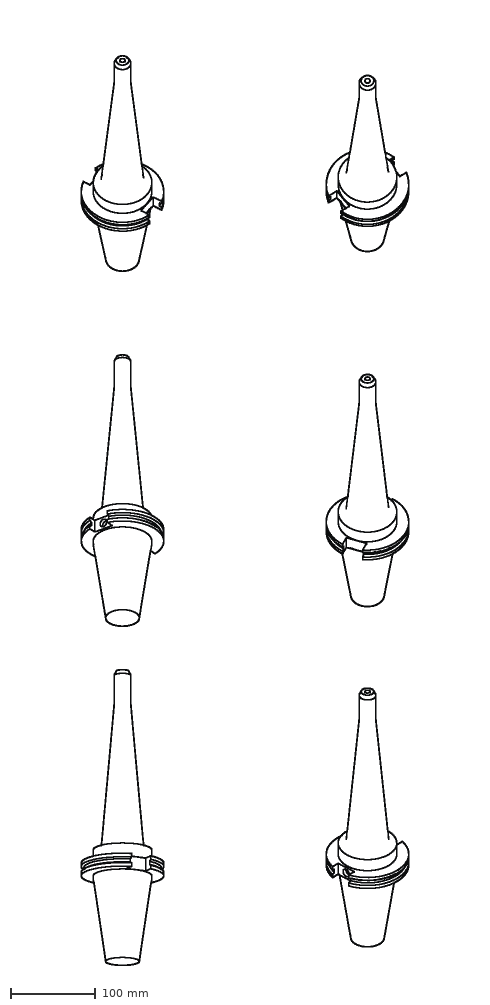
import cadquery as cq
import math

gauge_diameter = 69.85
taper_length = 101.6
taper_ratio = 7 / 24
nose_z = 254.0

flange_diameter = 98.425
flange_bottom_z = 3.175
flange_top_z = 19.05
groove_center_z = 11.1
groove_floor_width = 3.7
groove_depth = 3.0
groove_flank_angle = 30.0
slot_width = 25.9
deep_slot_floor_x = 35.3
shallow_slot_floor_x = 38.0
dimple_diameter = 9.8
dimple_depth = 5.0

boss_top_z = 35.0
cone_base_radius = 25.4
cone_base_z = 39.5
root_fillet_radius = 5.0
nose_diameter = 20.0
cone_top_z = 214.0
nose_chamfer_height = 5.2
nose_face_diameter = 15.0
bore_diameter = 6.0
bore_depth = 10.0

gauge_radius = gauge_diameter / 2
flange_radius = flange_diameter / 2
nose_radius = nose_diameter / 2
selection_margin = 1.0
cone_slope = (cone_base_radius - nose_radius) / (cone_top_z - cone_base_z)


def turned_body():
    """Revolve the full outline, from the small taper end to the nose, and round the cone's root."""
    taper_end_radius = gauge_radius - taper_length * taper_ratio / 2
    cone_root_radius = cone_base_radius + cone_slope * (cone_base_z - boss_top_z)
    outline = (
        cq.Workplane("XZ")
        .moveTo(0, -taper_length)
        .lineTo(taper_end_radius, -taper_length)
        .lineTo(gauge_radius, 0)
        .lineTo(gauge_radius, flange_bottom_z)
        .lineTo(flange_radius, flange_bottom_z)
        .lineTo(flange_radius, flange_top_z)
        .lineTo(gauge_radius, flange_top_z)
        .lineTo(gauge_radius, boss_top_z)
        .lineTo(cone_root_radius, boss_top_z)
        .lineTo(nose_radius, cone_top_z)
        .lineTo(nose_radius, nose_z - nose_chamfer_height)
        .lineTo(nose_face_diameter / 2, nose_z)
        .lineTo(0, nose_z)
        .close()
    )
    body = outline.revolve(360, (0, 0), (0, 1))
    reach = cone_root_radius + selection_margin
    root_box = cq.selectors.BoxSelector(
        (-reach, -reach, boss_top_z - selection_margin),
        (reach, reach, boss_top_z + selection_margin),
        boundingbox=True,
    )
    return body.edges(root_box).fillet(root_fillet_radius)


def v_groove():
    """Ring with a trapezoid section, cut into the rim of the flange."""
    floor_half = groove_floor_width / 2
    mouth_half = floor_half + groove_depth * math.tan(math.radians(groove_flank_angle))
    floor_radius = flange_radius - groove_depth
    return (
        cq.Workplane("XZ")
        .moveTo(floor_radius, groove_center_z - floor_half)
        .lineTo(flange_radius, groove_center_z - mouth_half)
        .lineTo(flange_radius, groove_center_z + mouth_half)
        .lineTo(floor_radius, groove_center_z + floor_half)
        .close()
        .revolve(360, (0, 0), (0, 1))
    )


def drive_slot(floor_x, side):
    """Block that opens the flange outward from floor_x on the +X (1) or -X (-1) side."""
    slot_depth = flange_radius - floor_x
    return (
        cq.Workplane("XY", origin=(side * (floor_x + slot_depth / 2), 0, flange_bottom_z))
        .box(slot_depth, slot_width, flange_top_z - flange_bottom_z, centered=(True, True, False))
    )


def slot_dimple():
    """Blind round hole in the floor of the shallow -X slot."""
    return (
        cq.Workplane("YZ", origin=(-shallow_slot_floor_x, 0, groove_center_z))
        .circle(dimple_diameter / 2)
        .extrude(dimple_depth)
    )


def nose_bore():
    """Blind bore in the nose face."""
    return (
        cq.Workplane("XY", origin=(0, 0, nose_z))
        .circle(bore_diameter / 2)
        .extrude(-bore_depth)
    )


result = (
    turned_body()
    .cut(v_groove())
    .cut(drive_slot(deep_slot_floor_x, 1))
    .cut(drive_slot(shallow_slot_floor_x, -1))
    .cut(slot_dimple())
    .cut(nose_bore())
)